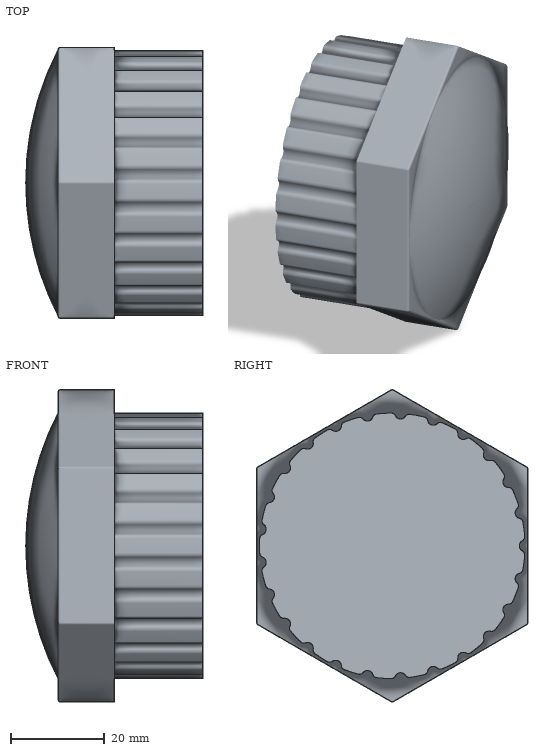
import cadquery as cq
import math

overall_length = 37.9
head_thickness = 12.0
shank_length = 18.9
dome_height = overall_length - head_thickness - shank_length

across_flats = 58.0
edge_round = 0.5
across_corners = across_flats / math.cos(math.radians(30))

dome_radius = across_flats / 2 - edge_round

shank_radius = 28.4
flute_count = 25
flute_radius = 1.2
flute_lip_round = 1.0
flute_pitch = 360 / flute_count


def hex_head():
    """Hexagonal prism with corners up and down, rounded except around its back face."""
    prism = (
        cq.Workplane("YZ")
        .transformed(rotate=(0, 0, 90))
        .polygon(6, across_corners)
        .extrude(head_thickness)
    )
    return prism.edges("|X or <X").fillet(edge_round)


def dome():
    """Spherical cap standing out of the front face toward -X."""
    sphere_radius = (dome_radius**2 + dome_height**2) / (2 * dome_height)
    half_angle = math.asin(dome_radius / sphere_radius) / 2
    arc_middle = (
        sphere_radius * (1 - math.cos(half_angle)) - dome_height,
        sphere_radius * math.sin(half_angle),
    )
    return (
        cq.Workplane("XY")
        .moveTo(-dome_height, 0)
        .threePointArc(arc_middle, (0, dome_radius))
        .lineTo(0, 0)
        .close()
        .revolve(360, (0, 0, 0), (1, 0, 0))
    )


def polar(radius, degrees):
    """Point in the (Y, Z) plane at a radius and an angle."""
    angle = math.radians(degrees)
    return (radius * math.cos(angle), radius * math.sin(angle))


def between(start, end, distance):
    """Point at a distance from start on the way to end."""
    fraction = distance / math.dist(start, end)
    return tuple(a + (b - a) * fraction for a, b in zip(start, end))


def fluted_shank():
    """Round shank with rounded flutes centred on its rim and rounded lips beside each flute."""
    lip_centre_radius = shank_radius - flute_lip_round
    centre_distance = flute_radius + flute_lip_round
    lip_cosine = (shank_radius**2 + lip_centre_radius**2 - centre_distance**2) / (
        2 * shank_radius * lip_centre_radius
    )
    lip_angle = math.degrees(math.acos(lip_cosine))

    profile = cq.Workplane("YZ", origin=(head_thickness, 0, 0)).moveTo(*polar(shank_radius, -lip_angle))
    for index in range(flute_count):
        flute_angle = index * flute_pitch
        next_flute_angle = flute_angle + flute_pitch
        flute_centre = polar(shank_radius, flute_angle)
        flute_bottom = polar(shank_radius - flute_radius, flute_angle)

        lip_centres = [polar(lip_centre_radius, flute_angle + side * lip_angle) for side in (-1, 1)]
        lip_edges = [polar(shank_radius, flute_angle + side * lip_angle) for side in (-1, 1)]
        joints = [between(flute_centre, centre, flute_radius) for centre in lip_centres]
        lip_middles = []
        for centre, edge, joint in zip(lip_centres, lip_edges, joints):
            chord_middle = between(edge, joint, math.dist(edge, joint) / 2)
            lip_middles.append(between(centre, chord_middle, flute_lip_round))

        profile = (
            profile.threePointArc(lip_middles[0], joints[0])
            .threePointArc(flute_bottom, joints[1])
            .threePointArc(lip_middles[1], lip_edges[1])
            .threePointArc(
                polar(shank_radius, flute_angle + flute_pitch / 2),
                polar(shank_radius, next_flute_angle - lip_angle),
            )
        )

    return profile.close().extrude(shank_length)


result = hex_head().union(dome()).union(fluted_shank())